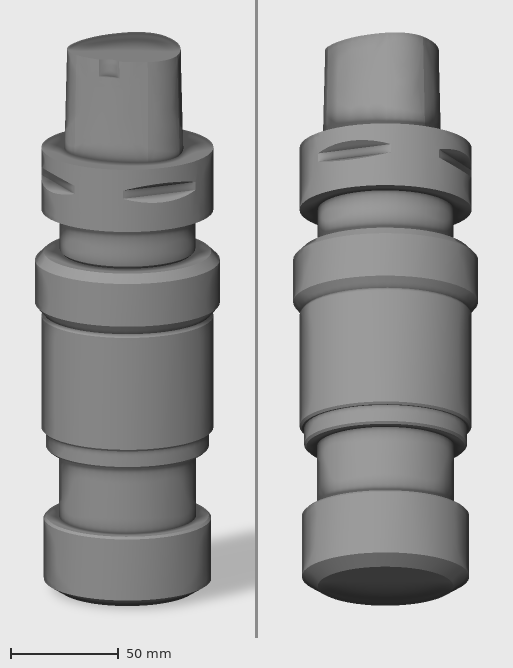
import cadquery as cq
import math

total_height = 260.5
flange_top = 212.5
flange_bottom = 182.5
collar_top = 162.3
collar_bottom = 133.0
body_top = 131.5
body_bottom = 76.5
band_bottom = 67.7
nut_top = 35.2

flange_dia = 80.0
upper_neck_dia = 63.0
lower_neck_dia = 63.8
collar_dia = 86.0
collar_end_dia = 78.0
body_dia = flange_dia
band_dia = 75.8
nut_dia = 78.0
nut_end_dia = 63.0

collar_chamfer_height = 4.0
collar_lower_chamfer_height = 4.7
nut_chamfer_height = 4.7
small_chamfer = 1.0
neck_chamfer = 1.3

lobe_center_distance = 12.2
lobe_radius = 17.2
flat_distance = 25.8
shank_taper = math.degrees(math.atan(1 / 40))

keyway_radius = 6.8
keyway_floor_distance = 22.1
keyway_height = 8.0

groove_count = 4
groove_z = 200.5
groove_floor_distance = 35.5
groove_floor_width = 4.0
groove_side_angle = 30.0
groove_runout = 2.5
groove_first_angle = 45


def polar(radius, angle):
    return (radius * math.cos(math.radians(angle)), radius * math.sin(math.radians(angle)))


def turned_body():
    flange_r = flange_dia / 2
    upper_neck_r = upper_neck_dia / 2
    lower_neck_r = lower_neck_dia / 2
    collar_r = collar_dia / 2
    collar_end_r = collar_end_dia / 2
    body_r = body_dia / 2
    band_r = band_dia / 2
    nut_r = nut_dia / 2
    profile = [
        (0, 0),
        (nut_end_dia / 2, 0),
        (nut_r, nut_chamfer_height),
        (nut_r, nut_top - small_chamfer),
        (nut_r - small_chamfer, nut_top),
        (lower_neck_r, nut_top),
        (lower_neck_r, band_bottom),
        (band_r - small_chamfer, band_bottom),
        (band_r, band_bottom + small_chamfer),
        (band_r, body_bottom),
        (body_r - small_chamfer, body_bottom),
        (body_r, body_bottom + small_chamfer),
        (body_r, body_top),
        (collar_end_r, collar_bottom),
        (collar_r, collar_bottom + collar_lower_chamfer_height),
        (collar_r, collar_top - collar_chamfer_height),
        (collar_end_r, collar_top),
        (upper_neck_r - neck_chamfer, collar_top),
        (upper_neck_r, collar_top + neck_chamfer),
        (upper_neck_r, flange_bottom),
        (flange_r, flange_bottom),
        (flange_r, flange_top),
        (0, flange_top),
    ]
    return cq.Workplane("XZ").polyline(profile).close().revolve(360, (0, 0), (0, 1))


def shank():
    inset = flat_distance - lobe_radius
    flat_center_distance = (lobe_center_distance**2 - inset**2) / (2 * inset - lobe_center_distance)
    lobe_x, lobe_y = polar(lobe_center_distance, 60)
    tangent_angle = math.degrees(math.atan2(lobe_y, lobe_x + flat_center_distance))
    tangent_x, tangent_y = polar(lobe_radius, tangent_angle)
    joint_x = lobe_x + tangent_x
    joint_y = lobe_y + tangent_y
    joint_distance = math.hypot(joint_x, joint_y)
    joint_angle = math.degrees(math.atan2(joint_y, joint_x))
    lobe_distance = lobe_center_distance + lobe_radius

    outline = cq.Workplane("XY", origin=(0, 0, flange_top)).moveTo(*polar(joint_distance, -90 - joint_angle))
    for flat_angle in (-90, 30, 150):
        outline = outline.threePointArc(
            polar(flat_distance, flat_angle), polar(joint_distance, flat_angle + joint_angle)
        )
        outline = outline.threePointArc(
            polar(lobe_distance, flat_angle + 60), polar(joint_distance, flat_angle + 120 - joint_angle)
        )
    return outline.close().extrude(total_height - flange_top, taper=shank_taper)


def keyway():
    return (
        cq.Workplane("XY", origin=(0, 0, total_height - keyway_height))
        .center(0, -keyway_floor_distance - keyway_radius)
        .circle(keyway_radius)
        .extrude(keyway_height)
    )


def gripper_groove(angle):
    outer_distance = flange_dia / 2 + groove_runout
    floor_half = groove_floor_width / 2
    slope = math.tan(math.radians(groove_side_angle))
    outer_half = floor_half + (outer_distance - groove_floor_distance) * slope
    section = [
        (groove_floor_distance, groove_z - floor_half),
        (outer_distance, groove_z - outer_half),
        (outer_distance, groove_z + outer_half),
        (groove_floor_distance, groove_z + floor_half),
    ]
    groove = cq.Workplane("XZ").polyline(section).close().extrude(flange_dia / 2, both=True)
    return groove.rotate((0, 0, 0), (0, 0, 1), angle)


result = turned_body().union(shank()).cut(keyway())
for index in range(groove_count):
    result = result.cut(gripper_groove(groove_first_angle + index * 360 / groove_count))